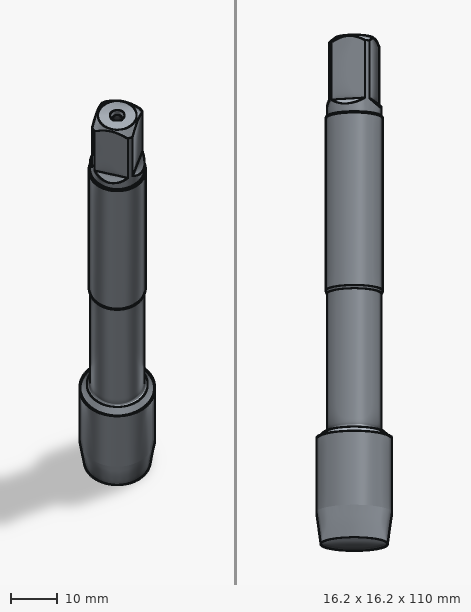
import cadquery as cq
import math

total_length = 110.0

head_diameter = 16.2
head_tip_diameter = 14.3
head_lead_length = 6.8
head_length = 23.0

shoulder_diameter = 15.7
shoulder_top_z = 24.2
neck_fillet_radius = 0.7

neck_diameter = 11.7
shank_diameter = 12.2
shank_bottom_z = 55.1
shank_bottom_taper = 0.7
shank_top_z = 92.6
shank_top_taper = 0.3
shank_top_diameter = 11.9
end_diameter = 11.7
end_chamfer_diameter = 8.2
end_chamfer_height = 1.4

square_width = 9.0
square_bottom_z = 96.0

centre_hole_diameter = 2.0
centre_hole_depth = 3.3
centre_hole_tip_angle = 120.0
countersink_diameter = 3.1
countersink_angle = 60.0


def revolve_profile(points):
    """Revolve (diameter, z) points, closed along the Z axis, into a solid."""
    bottom_diameter, bottom_z = points[0]
    top_z = points[-1][1]
    outline = [(diameter / 2, z) for diameter, z in points]
    outline.append((0, top_z))
    if bottom_diameter > 0:
        outline.append((0, bottom_z))
    return cq.Workplane("XZ").polyline(outline).close().revolve(360, (0, 0), (0, 1))


def make_head():
    """Cylindrical head with a tapered lead at the bottom."""
    return revolve_profile([
        (head_tip_diameter, 0),
        (head_diameter, head_lead_length),
        (head_diameter, head_length),
    ])


def make_turned_shank():
    """Stepped round shank standing on the head."""
    return revolve_profile([
        (shoulder_diameter, head_length),
        (neck_diameter + 2 * neck_fillet_radius, shoulder_top_z),
        (neck_diameter, shoulder_top_z),
        (neck_diameter, shank_bottom_z - shank_bottom_taper),
        (shank_diameter, shank_bottom_z),
        (shank_diameter, shank_top_z),
        (shank_top_diameter, shank_top_z + shank_top_taper),
        (end_diameter, shank_top_z + shank_top_taper),
        (end_diameter, total_length - end_chamfer_height),
        (end_chamfer_diameter, total_length),
    ])


def make_neck_fillet():
    """Disc with a concave quarter-round outside, blending the neck into the shoulder."""
    neck_radius = neck_diameter / 2
    arc_centre_x = neck_radius + neck_fillet_radius
    arc_centre_z = shoulder_top_z + neck_fillet_radius
    diagonal_step = neck_fillet_radius * math.sqrt(0.5)
    arc_middle = (arc_centre_x - diagonal_step, arc_centre_z - diagonal_step)
    section = cq.Workplane("XZ").moveTo(0, shoulder_top_z).lineTo(arc_centre_x, shoulder_top_z)
    section = section.threePointArc(arc_middle, (neck_radius, arc_centre_z)).lineTo(0, arc_centre_z)
    return section.close().revolve(360, (0, 0), (0, 1))


def make_square_envelope():
    """Square prism whose lower end flares at 45 degrees until it clears the shank."""
    flare = (head_diameter - square_width) / 2
    square = cq.Workplane("XY").workplane(offset=square_bottom_z)
    prism = square.rect(square_width, square_width).extrude(total_length - square_bottom_z)
    flared = square.rect(square_width, square_width).workplane(offset=-flare)
    flared = flared.rect(head_diameter, head_diameter).loft(ruled=True)
    base_height = square_bottom_z - flare
    base = cq.Workplane("XY").rect(head_diameter, head_diameter).extrude(base_height)
    return base.union(flared).union(prism)


def make_centre_hole():
    """Countersunk blind hole with a drill-point bottom, as a cutting shape."""
    tip_height = centre_hole_diameter / 2 / math.tan(math.radians(centre_hole_tip_angle / 2))
    sink_step = (countersink_diameter - centre_hole_diameter) / 2
    sink_depth = sink_step / math.tan(math.radians(countersink_angle / 2))
    hole_bottom_z = total_length - centre_hole_depth
    return revolve_profile([
        (0, hole_bottom_z - tip_height),
        (centre_hole_diameter, hole_bottom_z),
        (centre_hole_diameter, total_length - sink_depth),
        (countersink_diameter, total_length),
    ])


def make_shank():
    """Turned shank with its driving square and centre hole."""
    turned = make_turned_shank().union(make_neck_fillet())
    return turned.intersect(make_square_envelope()).cut(make_centre_hole())


head = make_head()
shank = make_shank()

result = cq.Compound.makeCompound([head.val(), shank.val()])